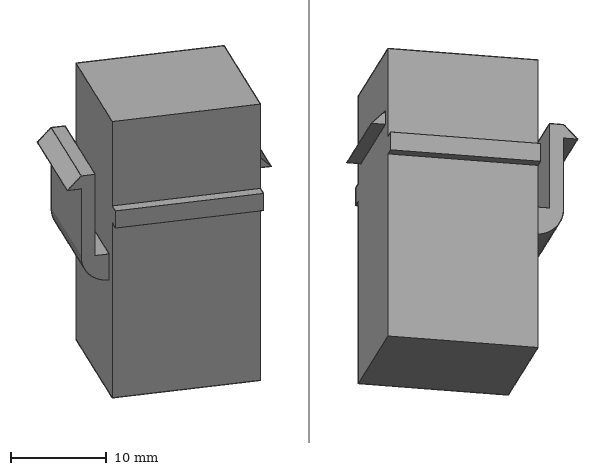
import cadquery as cq

body_width = 14.5
body_depth = 16.0
body_height = 32.0

rail_span = 17.0
rail_bottom = 20.25
rail_height = 2.0

latch_width = 12.0
latch_top = 25.5
barb_height = 1.5
barb_reach = 1.5

arm_gap = 1.5
arm_thickness = 1.5
foot_top = 16.1
foot_radius = arm_gap + arm_thickness

front_face = -body_depth / 2
back_face = body_depth / 2
arm_inner = front_face - arm_gap
arm_outer = arm_inner - arm_thickness
barb_bottom = latch_top - barb_height


def extrude_latch(profile):
    """Extrude a closed YZ profile symmetrically across the latch width."""
    return profile.close().extrude(latch_width / 2, both=True)


def barb(face, direction):
    """Wedge on a Y face, with a sloped lead-in above a flat catch."""
    tip = face + direction * barb_reach
    profile = (
        cq.Workplane("YZ")
        .moveTo(face, latch_top)
        .lineTo(tip, barb_bottom)
        .lineTo(face, barb_bottom)
    )
    return extrude_latch(profile)


def spring_arm():
    """Upright arm whose foot curves under as a quarter circle."""
    profile = (
        cq.Workplane("YZ")
        .moveTo(arm_outer, latch_top)
        .lineTo(arm_inner, latch_top)
        .lineTo(arm_inner, foot_top)
        .lineTo(front_face, foot_top)
        .lineTo(front_face, foot_top - foot_radius)
        .radiusArc((arm_outer, foot_top), foot_radius)
    )
    return extrude_latch(profile)


body = cq.Workplane("XY").box(body_width, body_depth, body_height, centered=(True, True, False))
rails = (
    cq.Workplane("XY")
    .workplane(offset=rail_bottom)
    .box(rail_span, body_depth, rail_height, centered=(True, True, False))
)

result = (
    body.union(rails)
    .union(spring_arm())
    .union(barb(arm_outer, -1))
    .union(barb(back_face, 1))
)